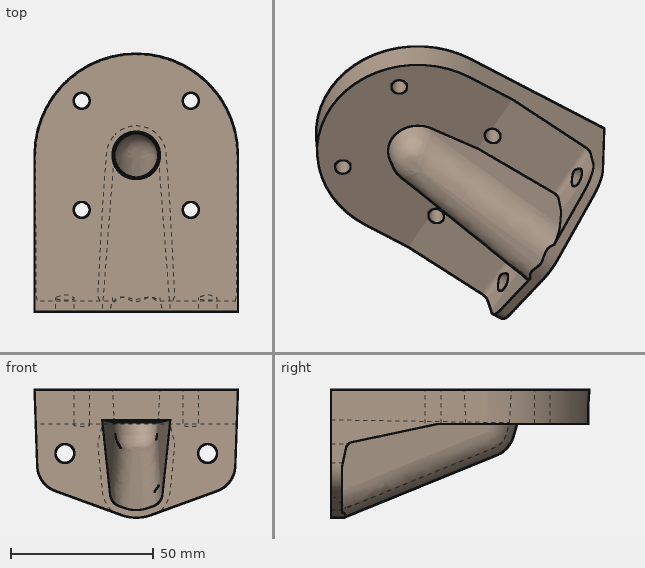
import cadquery as cq
import math


half_width = 35.8
length = 90.75
height = 45.0
plate_thickness = 12.1
side_draft = 2.0
front_y = half_width - length

flange_thickness = 3.8
flange_bottom_slope = 20.0
flange_corner_radius = 9.8
flange_tip_radius = 15.0
flange_hole_offset = 25.05
flange_hole_depth = 22.4
flange_hole_diameter = 6.5

wing_start_y = -17.6
wing_slope = 12.0
wing_inner_y = -49.4
wing_root_radius = 2.7

plate_hole_offset = 19.15
plate_hole_diameter = 5.5
bore_radius = 8.35

wall = 2.8
spout_rear_radius = 7.7
spout_flare = 4.3
spout_radius_draft = 0.09
spout_rear_lean = 0.2
floor_slope = 22.2
floor_z = -20.2
floor_y = 2.7
inner_floor_fillet = 6.3
outer_floor_fillet = 10.2
ceiling_front_z = -10.6
ceiling_rear_z = -11.6
flange_rim = 2.7
mouth_half_width = 13.2
mouth_side_draft = 6.1
mouth_corner_radius = 5.0

overshoot = 9.1
tool_size = 2 * length


def sin_deg(angle):
    return math.sin(math.radians(angle))


def cos_deg(angle):
    return math.cos(math.radians(angle))


def tan_deg(angle):
    return math.tan(math.radians(angle))


def drafted_body():
    """Round-ended block narrowing downward, with an upright front face."""
    block = (
        cq.Workplane("XY")
        .moveTo(-half_width, front_y - overshoot)
        .lineTo(-half_width, 0)
        .threePointArc((0, half_width), (half_width, 0))
        .lineTo(half_width, front_y - overshoot)
        .close()
        .extrude(-height, taper=side_draft)
    )
    behind_front = (
        cq.Workplane("XY")
        .box(tool_size, tool_size, tool_size)
        .translate((0, front_y + tool_size / 2, 0))
    )
    return block.intersect(behind_front)


def side_profile():
    """Plate, sloped wings and flange as one band across the full width."""
    wing_end_z = -plate_thickness - (wing_start_y - wing_inner_y) * tan_deg(wing_slope)
    flange_back_y = front_y + flange_thickness
    knee_z = wing_end_z - (wing_inner_y - flange_back_y) / tan_deg(wing_slope)
    band = (
        cq.Workplane("YZ")
        .polyline([
            (front_y, 0),
            (half_width, 0),
            (half_width, -plate_thickness),
            (wing_start_y, -plate_thickness),
            (wing_inner_y, wing_end_z),
            (flange_back_y, knee_z),
            (flange_back_y, -height),
            (front_y, -height),
        ])
        .close()
        .extrude(half_width, both=True)
    )
    root = cq.selectors.NearestToPointSelector((0, wing_inner_y, wing_end_z))
    return band.edges("|X").edges(root).fillet(wing_root_radius)


def v_bottom_prism(top_half_width, draft_angle, tip_z, tip_radius, corner_radius):
    """Prism along Y with drafted sides, rounded lower corners and a shallow rounded V bottom."""
    slope = tan_deg(flange_bottom_slope)
    draft = tan_deg(draft_angle)
    apex_z = tip_z + tip_radius - tip_radius / cos_deg(flange_bottom_slope)
    corner_x = (top_half_width + apex_z * draft) / (1 - slope * draft)
    corner_z = apex_z + corner_x * slope
    prism = (
        cq.Workplane("XZ")
        .polyline([
            (-top_half_width, 0),
            (top_half_width, 0),
            (corner_x, corner_z),
            (0, apex_z),
            (-corner_x, corner_z),
        ])
        .close()
        .extrude(length, both=True)
    )
    prism = prism.edges("|Y").edges("<Z").fillet(tip_radius)
    for side in (-1, 1):
        corner = cq.selectors.NearestToPointSelector((side * corner_x, 0, corner_z))
        prism = prism.edges("|Y").edges(corner).fillet(corner_radius)
    return prism


def flange_outline():
    """Outer outline of the flange, tapering with the drafted sides."""
    return v_bottom_prism(half_width, side_draft, -height, flange_tip_radius, flange_corner_radius)


def mouth_outline():
    """Outline of the hollow where it opens through the flange, one rim above the flange tip."""
    return v_bottom_prism(
        mouth_half_width,
        mouth_side_draft,
        flange_rim - height,
        flange_tip_radius - flange_rim,
        mouth_corner_radius,
    )


def spout_walls(offset, top_z):
    """Tapered spout with a rounded rear end and no floor, grown outward by offset."""
    near_y = front_y - overshoot

    def section(workplane, z):
        rise = z - ceiling_rear_z
        radius = spout_rear_radius + offset + rise * spout_radius_draft
        center_y = rise * spout_rear_lean
        near_x = (radius + (center_y - near_y) * sin_deg(spout_flare)) / cos_deg(spout_flare)
        tangent_x = radius * cos_deg(spout_flare)
        tangent_y = center_y + radius * sin_deg(spout_flare)
        return (
            workplane
            .moveTo(-near_x, near_y)
            .lineTo(-tangent_x, tangent_y)
            .threePointArc((0, center_y + radius), (tangent_x, tangent_y))
            .lineTo(near_x, near_y)
            .close()
        )

    bottom_z = -height - overshoot
    upper = section(cq.Workplane("XY").workplane(offset=top_z), top_z)
    return section(upper.workplane(offset=bottom_z - top_z), bottom_z).loft(ruled=True)


def spout(offset, top_z, floor_fillet):
    """Spout closed by a sloped floor whose side and rear edges are filleted."""
    below_floor = (
        cq.Workplane("XY")
        .box(tool_size, tool_size, tool_size)
        .translate((0, 0, -tool_size / 2 - offset))
        .rotate((0, 0, 0), (1, 0, 0), floor_slope)
        .translate((0, floor_y, floor_z))
    )
    solid = spout_walls(offset, top_z).cut(below_floor)
    floor = cq.selectors.DirectionMinMaxSelector(cq.Vector(0, sin_deg(floor_slope), -cos_deg(floor_slope)))
    front_edge = cq.selectors.DirectionMinMaxSelector(cq.Vector(0, 1, 0), False)
    floor_edges = solid.faces(floor).edges(cq.selectors.InverseSelector(front_edge))
    return floor_edges.fillet(floor_fillet)


def pocket():
    """Hollow of the spout, with a sloped ceiling and a level sill through the flange."""
    hollow = spout(0, 0, inner_floor_fillet).intersect(mouth_outline())
    ceiling = (
        cq.Workplane("YZ")
        .polyline([
            (front_y, ceiling_front_z),
            (spout_rear_radius, ceiling_rear_z),
            (spout_rear_radius, -height),
            (front_y, -height),
        ])
        .close()
        .extrude(half_width, both=True)
    )
    return hollow.intersect(ceiling)


def bore():
    """Tapered bore from the top face into the spout."""
    return (
        cq.Workplane("XY")
        .circle(bore_radius)
        .workplane(offset=ceiling_rear_z)
        .circle(spout_rear_radius)
        .loft()
    )


outer_body = drafted_body().intersect(flange_outline())
outer_spout = spout(wall, -plate_thickness / 2, outer_floor_fillet)
result = outer_body.intersect(side_profile().union(outer_spout))
result = result.cut(pocket()).cut(bore())

result = (
    result.faces(">Z")
    .workplane(origin=(0, 0, 0))
    .rect(2 * plate_hole_offset, 2 * plate_hole_offset, forConstruction=True)
    .vertices()
    .hole(plate_hole_diameter)
)

flange_holes = (
    cq.Workplane("XZ", origin=(0, front_y, -flange_hole_depth))
    .pushPoints([(-flange_hole_offset, 0), (flange_hole_offset, 0)])
    .circle(flange_hole_diameter / 2)
    .extrude(-length)
)
result = result.cut(flange_holes)